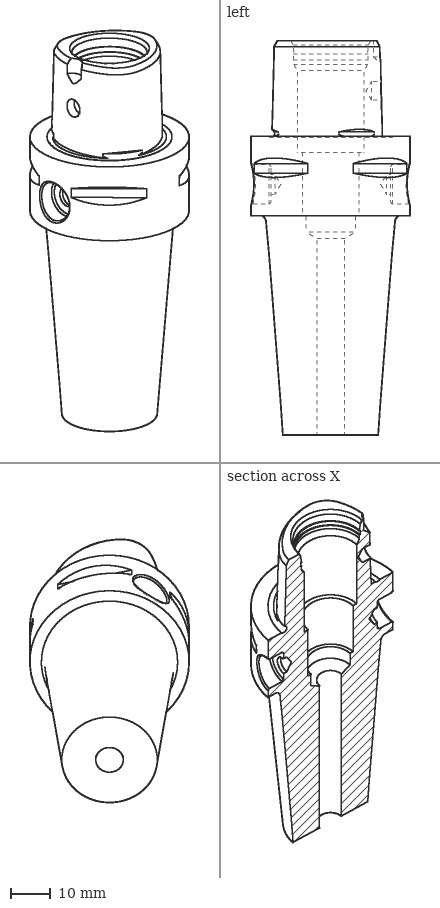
import math

import cadquery as cq


flange_radius = 20.0
flange_height = 20.0

cutter_reach = flange_radius + 1

nose_end_z = -75.0
nose_end_radius = 12.0
nose_half_angle = math.radians(4.5)
nose_cone_top_z = -21.7
nose_root_radius = 17.1
nose_root_fillet = 2.0

shank_height = 24.0
shank_straight_height = 1.5
shank_root_overlap = 1.0
shank_width = 27.8
lobe_center_distance = 6.15
shank_taper = 0.025
shank_chamfer_height = 1.5
shank_chamfer_depth = shank_chamfer_height * math.tan(math.radians(30))

undercut_outer_radius = 15.7
undercut_face_inner_radius = 14.3
undercut_neck_radius = 14.08
undercut_neck_z = 1.1
undercut_top_radius = 15.2

mouth_radius = 10.0
mouth_chamfer_radius = 9.45
mouth_chamfer_height = 1.1
collar_radius = 9.2
clamp_groove_radius = 9.4
clamp_groove_top_z = 20.65
clamp_groove_bottom_z = 19.2
collar_bottom_z = 18.1
lip_radius = 8.85
lip_z = 17.25
main_bore_radius = 8.3
main_bore_top_z = 16.5
main_bore_floor_z = -4.0
step_bore_radius = 14.3 / 2
step_bore_floor_z = -20.0
pilot_bore_radius = 12.38 / 2
pilot_bore_floor_z = -24.0
through_bore_radius = 6.92 / 2

slot_count = 4
slot_first_angle = 45.0
slot_floor_distance = 17.6
slot_floor_top_z = -6.85
slot_floor_height = 2.4
slot_top_flare = math.radians(30)
slot_bottom_flare = math.radians(25)

pocket_z = -12.0
pocket_radius = 5.0
pocket_rim_chamfer = 0.45
pocket_floor = 15.0
pocket_floor_radius = 9.0 / 2
pocket_pilot_radius = 2.5
pocket_pilot_depth = 1.0

drill_point_half_angle = math.radians(59)

index_hole_z = 11.45
index_hole_radius = 2.3
index_hole_floor = 10.2

notch_radius = 2.7
notch_axis_y = -13.4
notch_floor_z = 20.0


def revolve_profile(points):
    """Revolve a closed (radius, z) polygon around Z."""
    return cq.Workplane("XZ").polyline(points).close().revolve(360, (0, 0, 0), (0, 1, 0))


def polar(radius, degrees):
    angle = math.radians(degrees)
    return radius * math.cos(angle), radius * math.sin(angle)


def lobe_section(z, inset):
    """Constant-width outline of three lobes and three wide arcs, moved inward by `inset`."""
    center_spacing = math.sqrt(3) * lobe_center_distance
    lobe_radius = (shank_width - center_spacing) / 2 - inset
    wide_radius = (shank_width + center_spacing) / 2 - inset

    def arc_point(center_angle, radius, direction):
        center_x, center_y = polar(lobe_center_distance, center_angle)
        offset_x, offset_y = polar(radius, direction)
        return center_x + offset_x, center_y + offset_y

    outline = cq.Workplane("XY", origin=(0, 0, z)).moveTo(*arc_point(90, lobe_radius, 60))
    for lobe_angle in (90, 210, 330):
        opposite_angle = lobe_angle + 240
        outline = outline.threePointArc(
            arc_point(lobe_angle, lobe_radius, lobe_angle),
            arc_point(lobe_angle, lobe_radius, lobe_angle + 30),
        )
        outline = outline.threePointArc(
            arc_point(opposite_angle, wide_radius, lobe_angle + 60),
            arc_point(opposite_angle, wide_radius, lobe_angle + 90),
        )
    return outline.close().wires().val()


def make_shank():
    chamfer_z = shank_height - shank_chamfer_height
    chamfer_inset = shank_taper * (chamfer_z - shank_straight_height)
    root = lobe_section(-shank_root_overlap, 0)
    taper_start = lobe_section(shank_straight_height, 0)
    taper_end = lobe_section(chamfer_z, chamfer_inset)
    top = lobe_section(shank_height, chamfer_inset + shank_chamfer_depth)
    straight = cq.Solid.makeLoft([root, taper_start], True)
    tapered = cq.Solid.makeLoft([taper_start, taper_end], True)
    chamfered = cq.Solid.makeLoft([taper_end, top], True)
    return cq.Workplane(straight).union(cq.Workplane(tapered)).union(cq.Workplane(chamfered))


def make_flange_and_nose():
    cone_top_radius = nose_end_radius + (nose_cone_top_z - nose_end_z) * math.tan(nose_half_angle)
    profile = (
        cq.Workplane("XZ")
        .lineTo(flange_radius, 0)
        .lineTo(flange_radius, -flange_height)
        .lineTo(nose_root_radius, -flange_height)
        .radiusArc((cone_top_radius, nose_cone_top_z), -nose_root_fillet)
        .lineTo(nose_end_radius, nose_end_z)
        .lineTo(0, nose_end_z)
        .close()
    )
    return profile.revolve(360, (0, 0, 0), (0, 1, 0))


def make_root_undercut():
    top_z = undercut_neck_z + undercut_top_radius - undercut_neck_radius
    profile = (
        cq.Workplane("XZ")
        .moveTo(undercut_top_radius, top_z)
        .lineTo(undercut_neck_radius, undercut_neck_z)
        .threePointArc((undercut_face_inner_radius, 0), (undercut_outer_radius, 0))
        .lineTo(undercut_outer_radius, top_z)
        .close()
    )
    return profile.revolve(360, (0, 0, 0), (0, 1, 0))


def make_bore():
    pilot_step = pilot_bore_radius - through_bore_radius
    through_bore_top_z = pilot_bore_floor_z - pilot_step / math.tan(drill_point_half_angle)
    return revolve_profile([
        (0, shank_height),
        (mouth_radius, shank_height),
        (mouth_chamfer_radius, shank_height - mouth_chamfer_height),
        (collar_radius, clamp_groove_top_z),
        (clamp_groove_radius, clamp_groove_top_z),
        (clamp_groove_radius, clamp_groove_bottom_z),
        (collar_radius, clamp_groove_bottom_z),
        (collar_radius, collar_bottom_z),
        (lip_radius, lip_z),
        (main_bore_radius, main_bore_top_z),
        (main_bore_radius, main_bore_floor_z),
        (step_bore_radius, main_bore_floor_z),
        (step_bore_radius, step_bore_floor_z),
        (pilot_bore_radius, step_bore_floor_z),
        (pilot_bore_radius, pilot_bore_floor_z),
        (through_bore_radius, through_bore_top_z),
        (through_bore_radius, nose_end_z),
        (0, nose_end_z),
    ])


def make_gripper_slots():
    reach = cutter_reach - slot_floor_distance
    floor_bottom_z = slot_floor_top_z - slot_floor_height
    slot = (
        cq.Workplane("XZ")
        .polyline([
            (slot_floor_distance, slot_floor_top_z),
            (cutter_reach, slot_floor_top_z + reach * math.tan(slot_top_flare)),
            (cutter_reach, floor_bottom_z - reach * math.tan(slot_bottom_flare)),
            (slot_floor_distance, floor_bottom_z),
        ])
        .close()
        .extrude(flange_radius, both=True)
    )
    slots = cq.Workplane()
    for index in range(slot_count):
        angle = slot_first_angle + index * 360 / slot_count
        slots = slots.add(slot.rotate((0, 0, 0), (0, 0, 1), angle))
    return slots.combine()


def radial_cutter(profile, z):
    """Revolve a (radius, distance from the part axis) profile around the -Y direction at height z."""
    points = [(radius, -distance) for radius, distance in profile]
    cutter = cq.Workplane("XY").polyline(points).close().revolve(360, (0, 0, 0), (0, 1, 0))
    return cutter.translate((0, 0, z))


def make_pocket():
    pilot_floor = pocket_floor - pocket_pilot_depth
    tip = pilot_floor - pocket_pilot_radius / math.tan(drill_point_half_angle)
    return radial_cutter(
        [
            (0, cutter_reach),
            (pocket_radius, cutter_reach),
            (pocket_radius, pocket_floor + (pocket_radius - pocket_floor_radius)),
            (pocket_floor_radius, pocket_floor),
            (pocket_pilot_radius, pocket_floor),
            (pocket_pilot_radius, pilot_floor),
            (0, tip),
        ],
        pocket_z,
    )


def make_index_hole():
    tip = index_hole_floor - index_hole_radius / math.tan(drill_point_half_angle)
    return radial_cutter(
        [
            (0, cutter_reach),
            (index_hole_radius, cutter_reach),
            (index_hole_radius, index_hole_floor),
            (0, tip),
        ],
        index_hole_z,
    )


def make_notch():
    """Round notch with a 90-degree conical bottom."""
    notch = revolve_profile([
        (0, shank_height),
        (notch_radius, shank_height),
        (notch_radius, notch_floor_z),
        (0, notch_floor_z - notch_radius),
    ])
    return notch.translate((0, notch_axis_y, 0))


def cut_pockets(body):
    """Cut both pockets and break the edges they leave on the flange's outer surface."""
    pocket = make_pocket()
    body = body.cut(pocket).cut(pocket.mirror("XZ"))
    wall_middle = (pocket_floor + flange_radius) / 2
    for side in (-1, 1):
        rim = cq.selectors.BoxSelector(
            (-pocket_radius, side * wall_middle, pocket_z - pocket_radius),
            (pocket_radius, side * flange_radius, pocket_z + pocket_radius),
        )
        body = body.edges(rim).chamfer(pocket_rim_chamfer)
    return body


body = make_flange_and_nose().union(make_shank())
body = body.cut(make_root_undercut())
body = body.cut(make_bore())
body = body.cut(make_gripper_slots())
body = cut_pockets(body)
body = body.cut(make_index_hole())
result = body.cut(make_notch())